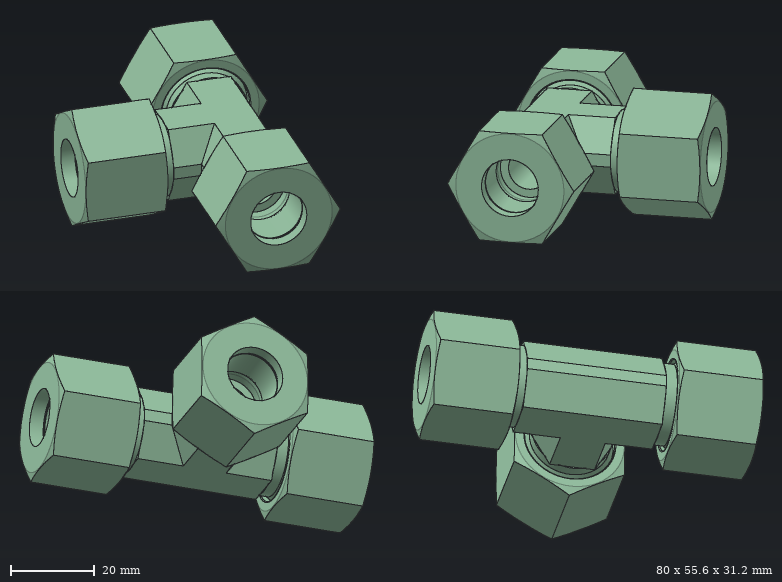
import cadquery as cq
import math

RUN_ANGLES = (0, 180)
BRANCH_ANGLE = 270
PORT_ANGLES = (*RUN_ANGLES, BRANCH_ANGLE)

tube_diameter = 14.0
flow_diameter = 10.0
tube_radius = tube_diameter / 2

forging_end = 17.0
nut_inner_end = 19.5
tube_stop = 22.0
body_end = 30.0
nut_outer_end = 40.0

forging_across_flats = 19.0
forging_width = 20.2

neck_diameter = 19.7
thread_diameter = 22.0
neck_inside_nut = 0.2
neck_end = nut_inner_end + neck_inside_nut
thread_runout_angle = math.radians(30)
thread_runout = (thread_diameter - neck_diameter) / 2 / math.tan(thread_runout_angle)

cone_mouth_radius = 8.15
cone_half_angle = math.radians(12)
cone_depth = (cone_mouth_radius - tube_radius) / math.tan(cone_half_angle)

nut_across_flats = 27.0
nut_across_corners = nut_across_flats / math.cos(math.radians(30))
nut_face_diameter = 26.65
envelope_clearance = 1.0
nut_chamfer_angle = math.radians(15)
nut_lip_length = 3.5
nut_countersink = 0.25

ring_nose_length = 4.0
ring_collar_radius = 9.0
ring_lip_gap = 0.4


def revolve_about_x(points):
    """Solid of revolution about X from a closed outline of (x, radius) points."""
    return cq.Workplane("XY").polyline(points).close().revolve(360, (0, 0, 0), (1, 0, 0))


def at_port(shape, angle):
    return shape.rotate((0, 0, 0), (0, 0, 1), angle)


def make_forging_arm():
    """Truncated hexagon bar from the tee centre to the end of the forging."""
    across_corners = forging_across_flats / math.cos(math.radians(30))
    hexagon = cq.Workplane("YZ").polygon(6, across_corners).extrude(forging_end)
    side_limit = cq.Workplane("YZ").rect(forging_width, forging_across_flats).extrude(forging_end)
    return hexagon.intersect(side_limit)


def make_stub():
    """Neck and thread envelope, with a conical runout between them."""
    neck_radius = neck_diameter / 2
    thread_radius = thread_diameter / 2
    return revolve_about_x([
        (0, 0),
        (0, flow_diameter / 2),
        (forging_end, flow_diameter / 2),
        (forging_end, neck_radius),
        (neck_end, neck_radius),
        (neck_end + thread_runout, thread_radius),
        (body_end, thread_radius),
        (body_end, 0),
    ])


def make_passage():
    """Flow bore, tube socket and sealing cone of one port."""
    flow_radius = flow_diameter / 2
    return revolve_about_x([
        (0, 0),
        (0, flow_radius),
        (tube_stop, flow_radius),
        (tube_stop, tube_radius),
        (body_end - cone_depth, tube_radius),
        (body_end, cone_mouth_radius),
        (body_end, 0),
    ])


def make_tee():
    tee = at_port(make_forging_arm(), PORT_ANGLES[0])
    for angle in PORT_ANGLES[1:]:
        tee = tee.union(at_port(make_forging_arm(), angle))
    for angle in PORT_ANGLES:
        tee = tee.union(at_port(make_stub(), angle))
    for angle in PORT_ANGLES:
        tee = tee.cut(at_port(make_passage(), angle))
    return tee


def make_nut_envelope():
    """Turned envelope that chamfers the hexagon corners at both ends of the nut."""
    face_radius = nut_face_diameter / 2
    corner_radius = nut_across_corners / 2
    clear_radius = corner_radius + envelope_clearance
    chamfer_length = (clear_radius - face_radius) * math.tan(nut_chamfer_angle)
    return revolve_about_x([
        (nut_inner_end, 0),
        (nut_inner_end, face_radius),
        (nut_inner_end + chamfer_length, clear_radius),
        (nut_outer_end - chamfer_length, clear_radius),
        (nut_outer_end, face_radius),
        (nut_outer_end, 0),
    ])


def make_nut_cavity():
    """Countersunk thread bore, 45 degree seat for the ring, and tube clearance."""
    thread_radius = thread_diameter / 2
    seat_start = nut_outer_end - nut_lip_length
    return revolve_about_x([
        (nut_inner_end, 0),
        (nut_inner_end, thread_radius + nut_countersink),
        (nut_inner_end + nut_countersink, thread_radius),
        (seat_start - (thread_radius - tube_radius), thread_radius),
        (seat_start, tube_radius),
        (nut_outer_end, tube_radius),
        (nut_outer_end, 0),
    ])


def make_nut(corners_up):
    nut_length = nut_outer_end - nut_inner_end
    hexagon = (
        cq.Workplane("YZ", origin=(nut_inner_end, 0, 0))
        .polygon(6, nut_across_corners)
        .extrude(nut_length)
    )
    if corners_up:
        hexagon = hexagon.rotate((0, 0, 0), (1, 0, 0), 30)
    return hexagon.intersect(make_nut_envelope()).cut(make_nut_cavity())


def make_cutting_ring():
    """Ring with its nose in the sealing cone and its back against the nut seat."""
    seat_start = nut_outer_end - nut_lip_length
    nose_radius = cone_mouth_radius - ring_nose_length * math.tan(cone_half_angle)
    return revolve_about_x([
        (body_end - ring_nose_length, tube_radius),
        (body_end - ring_nose_length, nose_radius),
        (body_end, cone_mouth_radius),
        (body_end, ring_collar_radius),
        (seat_start - (ring_collar_radius - tube_radius), ring_collar_radius),
        (seat_start - ring_lip_gap, tube_radius + ring_lip_gap),
        (seat_start - ring_lip_gap, tube_radius),
    ])


tee = make_tee()

nuts = [at_port(make_nut(angle == BRANCH_ANGLE), angle) for angle in PORT_ANGLES]
rings = [at_port(make_cutting_ring(), angle) for angle in PORT_ANGLES]

result = cq.Compound.makeCompound([
    tee.val(),
    *[nut.val() for nut in nuts],
    *[ring.val() for ring in rings],
])